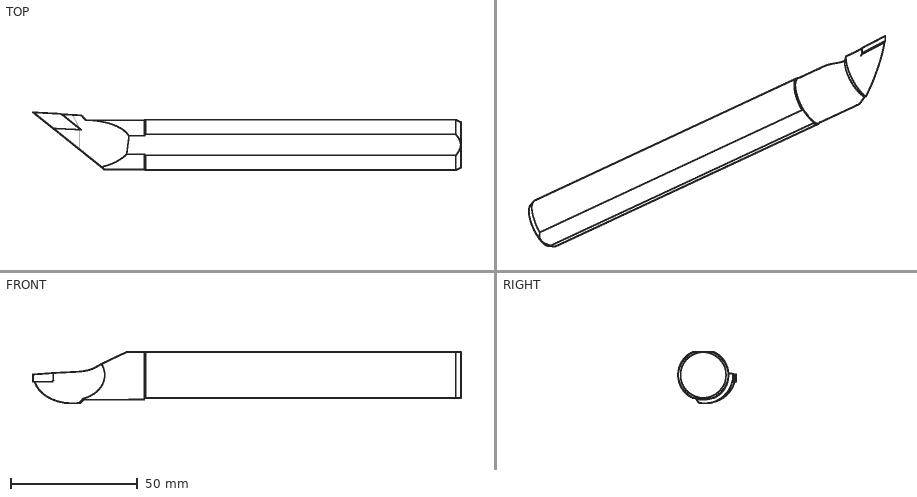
import cadquery as cq
import math

total_length = 169.15
reach = 30.0

shank_radius = 10.0
flat_height = 9.1
end_chamfer_length = 2.1
end_chamfer_depth = 1.0

neck_radius = 9.78
neck_end = 44.5
neck_step_length = 0.5

head_radius = 11.24
head_offset = 1.5
head_length = 21.6
head_end_bevel = 3.0
side_clearance = 3.0

tip_y = 12.93
face_angle = 38.66

deck_height = 1.26
flute_tilt = 3.7
deck_end = 18.4
ramp_start_angle = 3.0
ramp_bend = (24.5, 2.5)
ramp_angle = 26.8

insert_bottom = -2.7
insert_blank_top = 2.0
insert_width = 5.95
insert_length = 11.1
insert_top_tilt = 5.2
seat_corner_radius = 0.6


def along_side(distance, start):
    """Point at a distance in X from start, along the leaning side direction."""
    drop = distance * math.tan(math.radians(side_clearance))
    return (start[0] + distance, start[1] - drop)


def make_shank():
    """Turned bar: neck, small step and shank with a chamfered end."""
    profile = [
        (0, 0),
        (0, neck_radius),
        (neck_end - neck_step_length, neck_radius),
        (neck_end, shank_radius),
        (total_length - end_chamfer_length, shank_radius),
        (total_length, shank_radius - end_chamfer_depth),
        (total_length, 0),
    ]
    return cq.Workplane("XY").polyline(profile).close().revolve(360, (0, 0, 0), (1, 0, 0))


def make_head():
    """Leaning cylinder with a bevelled rear end, run forward past the tip."""
    return (
        cq.Workplane("YZ")
        .circle(head_radius)
        .extrude(head_length)
        .faces(">X")
        .chamfer(head_end_bevel)
        .union(cq.Workplane("YZ").circle(head_radius).extrude(-head_radius))
        .rotate((0, 0, 0), (0, 0, 1), -side_clearance)
        .translate((0, head_offset, 0))
    )


def box_above_flat():
    base = cq.Workplane("XY").workplane(offset=flat_height).center(total_length / 2, 0)
    return base.rect(total_length + 2 * reach, 2 * reach).extrude(reach)


def box_below_flat():
    """The lower flat covers the shank only and stops at the neck."""
    return (
        cq.Workplane("XY")
        .workplane(offset=-flat_height)
        .center(neck_end - neck_step_length + total_length / 2, 0)
        .rect(total_length, 2 * reach)
        .extrude(-reach)
    )


def make_face_cutter():
    """Everything in front of the slanted face."""
    slope = math.tan(math.radians(face_angle))
    outline = [
        (-reach / slope, tip_y + reach),
        (2 * reach / slope, tip_y - 2 * reach),
        (-3 * reach, tip_y - 2 * reach),
        (-3 * reach, tip_y + reach),
    ]
    return cq.Workplane("XY").workplane(offset=-reach).polyline(outline).close().extrude(2 * reach)


def tilted_prism(profile, tilt):
    """Extrude an XZ profile along a Y direction tilted about the shank axis."""
    prism = profile.extrude(2 * reach).translate((0, reach, 0))
    return prism.rotate((0, 0, 0), (1, 0, 0), -tilt)


def space_above_plane(height, tilt):
    """Everything above a plane that crosses Y = 0 at a height and rises toward -Y."""
    base = height * math.cos(math.radians(tilt))
    profile = cq.Workplane("XZ").center(0, base + reach / 2).rect(4 * reach, reach)
    return tilted_prism(profile, tilt)


def space_above_ramp():
    """Everything above the ramp, which runs on below the deck at its starting angle."""
    start_slope = math.tan(math.radians(ramp_start_angle))
    slope = math.tan(math.radians(ramp_angle))
    ramp_foot = (deck_end, deck_height)
    low_end = (-reach, deck_height - (deck_end + reach) * start_slope)
    ramp_top = (ramp_bend[0] + reach, ramp_bend[1] + reach * slope)
    profile = (
        cq.Workplane("XZ")
        .spline(
            [low_end, ramp_foot, ramp_bend, ramp_top],
            tangents=[(1, start_slope), (1, start_slope), (1, slope), (1, slope)],
        )
        .lineTo(low_end[0], ramp_top[1])
        .close()
    )
    return tilted_prism(profile, flute_tilt)


def face_point(depth):
    """Point on the slanted face at a distance in X behind the tip."""
    return (depth, tip_y - depth * math.tan(math.radians(face_angle)))


def seat_corner():
    """Plan position where the inner edge of the insert meets the slanted face."""
    face_slope = math.tan(math.radians(face_angle))
    side_slope = math.tan(math.radians(side_clearance))
    return face_point(insert_width / (face_slope - side_slope))


def make_insert_blank():
    """Parallelogram plate between the front face and its parallel rear edge."""
    tip = face_point(0)
    outline = [
        tip,
        along_side(insert_length, tip),
        along_side(insert_length, seat_corner()),
        seat_corner(),
    ]
    plate = cq.Workplane("XY").workplane(offset=insert_bottom).polyline(outline).close()
    plate = plate.extrude(insert_blank_top - insert_bottom)
    bottom_inner_edge = cq.selectors.NearestToPointSelector(
        along_side(insert_length / 2, seat_corner()) + (insert_bottom,)
    )
    return plate.edges(bottom_inner_edge).fillet(seat_corner_radius)


def make_insert_clearance(ramp_space):
    """Space above the insert top plane, carried past the insert until the ramp stops it."""
    rear = along_side(reach, seat_corner())
    front = along_side(-reach, seat_corner())
    outline = [front, rear, (rear[0], reach), (front[0], reach)]
    tilt_gain = math.tan(math.radians(insert_top_tilt)) - math.tan(math.radians(flute_tilt))
    height = deck_height + tilt_gain * seat_corner()[1]
    plan = cq.Workplane("XY").workplane(offset=-reach).polyline(outline).close().extrude(2 * reach)
    return plan.intersect(space_above_plane(height, insert_top_tilt)).intersect(ramp_space)


ramp_space = space_above_ramp()
flute_cutter = space_above_plane(deck_height, flute_tilt).intersect(ramp_space)
insert_clearance = make_insert_clearance(ramp_space)
insert_blank = make_insert_blank()

bar = (
    make_shank()
    .union(make_head())
    .cut(box_above_flat())
    .cut(box_below_flat())
    .cut(make_face_cutter())
    .cut(flute_cutter)
    .cut(insert_clearance)
    .cut(insert_blank)
)
insert = insert_blank.cut(insert_clearance)

result = cq.Compound.makeCompound([bar.val(), insert.val()])